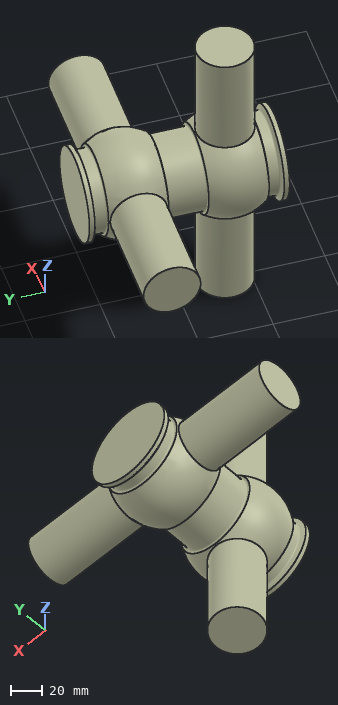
import cadquery as cq
import math

arm_span = 204.0
body_length = 133.5

arm_diameter = 38.1
tube_diameter = 55.7
flange_diameter = 64.2
ball_diameter = 72.8

ball_spacing = 67.0
ball_width = 40.2
flange_rim = 3.7
root_fillet = 0.8
flange_back_angle = 20.0

tube_radius = tube_diameter / 2
flange_radius = flange_diameter / 2
half_body = body_length / 2
flange_cone = (flange_radius - tube_radius) * math.tan(math.radians(flange_back_angle))


def make_tube():
    """Straight body along Y with a clamp flange at each end, revolved from its half profile."""
    rim_inner = half_body - flange_rim
    cone_inner = rim_inner - flange_cone
    return (
        cq.Workplane("XY")
        .moveTo(0, -half_body)
        .lineTo(flange_radius, -half_body)
        .lineTo(flange_radius, -rim_inner)
        .lineTo(tube_radius, -cone_inner)
        .lineTo(tube_radius, cone_inner)
        .lineTo(flange_radius, rim_inner)
        .lineTo(flange_radius, half_body)
        .lineTo(0, half_body)
        .close()
        .revolve(360, (0, 0, 0), (0, 1, 0))
    )


def make_ball():
    """Valve ball at the origin, cut flat on both faces across Y."""
    slab = cq.Workplane("XY").box(ball_diameter, ball_width, ball_diameter)
    return cq.Workplane("XY").sphere(ball_diameter / 2).intersect(slab)


def is_tube_root(edge):
    """True for a circle where the tube surface ends at a ball or flange."""
    return math.isclose(edge.radius(), tube_radius, abs_tol=0.0002)


def make_arm(plane):
    """Round bar centred on the origin, along the normal of the given plane."""
    return cq.Workplane(plane).circle(arm_diameter / 2).extrude(arm_span / 2, both=True)


crossings = ((-ball_spacing / 2, "XY"), (ball_spacing / 2, "YZ"))

body = make_tube()
for ball_y, _ in crossings:
    body = body.union(make_ball().translate((0, ball_y, 0)))
body = body.edges("%CIRCLE").filter(is_tube_root).fillet(root_fillet)

result = body
for ball_y, arm_plane in crossings:
    result = result.union(make_arm(arm_plane).translate((0, ball_y, 0)))